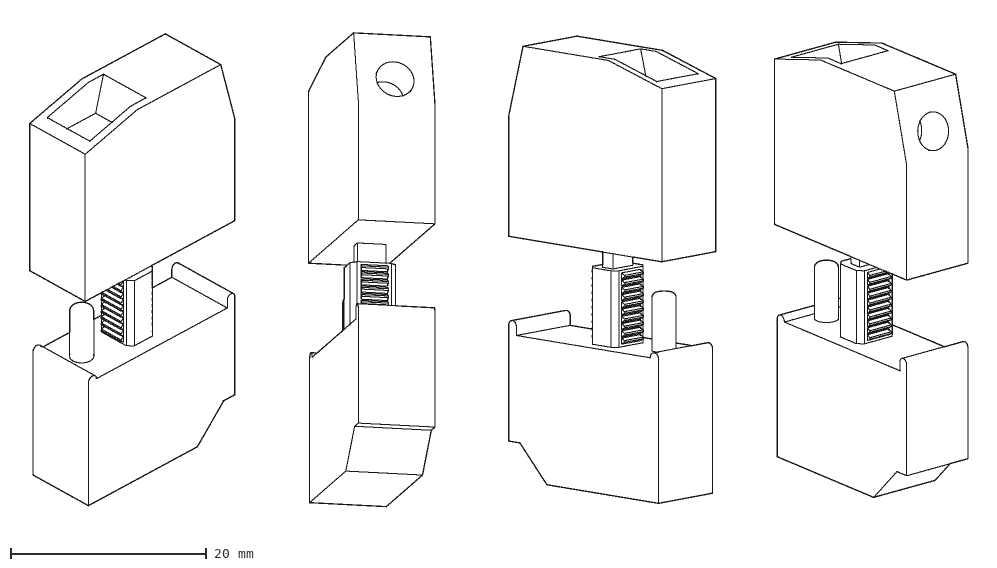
import cadquery as cq
import math

WIDTH = 8.1
DEPTH = 21.5
HEIGHT = 45.15
REAR_Y = DEPTH / 2
FRONT_Y = -DEPTH / 2

UPPER_HEIGHT = 20.0
UPPER_BOTTOM_Z = HEIGHT - UPPER_HEIGHT
BEVEL_LONG = 7.5
TAPER_ANGLE = 15.0
TAPER = math.tan(math.radians(TAPER_ANGLE))
BEVEL_SHORT = BEVEL_LONG * TAPER

POCKET_WIDTH = 6.2
POCKET_DEPTH = 4.25
POCKET_FLOOR_REAR_Y = -2.2
POCKET_FLOOR_FRONT_Y = -8.45

WIRE_HOLE_DIAMETER = 3.95
WIRE_HOLE_DEPTH = 4.5
WIRE_HOLE_DROP = 4.9

DECK_Z = 15.0
LOWER_FRONT_Y = -10.3
REAR_LIP_RADIUS = 0.55
REAR_LIP_HEIGHT = 1.5
FRONT_LIP_RADIUS = 0.6
HEEL_Z = 3.9
HEEL_LENGTH = 1.6
HEEL_SLOPE_LENGTH = 3.8

PEG_DIAMETER = 2.5
PEG_HEIGHT = 6.05
PEG_Y = -7.25
PEG_ROUND = 0.55

CONTACT_Y = -0.75
CONTACT_WIDTH = 4.8
CONTACT_DEPTH = 3.75
CONTACT_HEIGHT = 7.95
CONTACT_CHAMFER = 0.6
CONTACT_TOP_Z = DECK_Z + CONTACT_HEIGHT
BLADE_WIDTH = 3.0
BLADE_THICKNESS = 1.45

RIB_COUNT = 10
RIB_ROW_HEIGHT = 6.75
RIB_PITCH = RIB_ROW_HEIGHT / (RIB_COUNT - 1)
RIB_WIDTH = 2.8
RIB_BASE = 0.65
RIB_NOSE = 0.2
RIB_REACH = 0.45


def extrude_across(profile, width):
    """Extrude a closed (Y, Z) outline symmetrically about X = 0."""
    return profile.close().extrude(width / 2, both=True)


def make_upper_housing():
    outline = (
        cq.Workplane("YZ")
        .moveTo(FRONT_Y, UPPER_BOTTOM_Z)
        .lineTo(REAR_Y, UPPER_BOTTOM_Z)
        .lineTo(REAR_Y, HEIGHT - BEVEL_LONG)
        .lineTo(REAR_Y - BEVEL_SHORT, HEIGHT)
        .lineTo(FRONT_Y + BEVEL_LONG, HEIGHT)
        .lineTo(FRONT_Y, HEIGHT - BEVEL_SHORT)
    )
    return extrude_across(outline, WIDTH).cut(make_pocket()).cut(make_wire_hole())


def make_pocket():
    """Pocket whose front and rear walls lean outwards towards the top."""
    floor_z = HEIGHT - POCKET_DEPTH
    lean = POCKET_DEPTH * TAPER
    outline = (
        cq.Workplane("YZ")
        .moveTo(POCKET_FLOOR_FRONT_Y, floor_z)
        .lineTo(POCKET_FLOOR_REAR_Y, floor_z)
        .lineTo(POCKET_FLOOR_REAR_Y + lean, HEIGHT)
        .lineTo(POCKET_FLOOR_FRONT_Y - lean, HEIGHT)
    )
    return extrude_across(outline, POCKET_WIDTH)


def make_wire_hole():
    """Blind hole square to the rear bevel."""
    center_y = REAR_Y - BEVEL_SHORT + WIRE_HOLE_DROP * TAPER
    angle = math.radians(TAPER_ANGLE)
    bevel_plane = cq.Plane(
        origin=(0, center_y, HEIGHT - WIRE_HOLE_DROP),
        xDir=(1, 0, 0),
        normal=(0, math.cos(angle), math.sin(angle)),
    )
    return cq.Workplane(bevel_plane).circle(WIRE_HOLE_DIAMETER / 2).extrude(-WIRE_HOLE_DEPTH)


def make_lower_housing():
    """Housing with a round-topped lip at each end of its deck and a locating peg."""
    rear_lip_arc_z = DECK_Z + REAR_LIP_HEIGHT - REAR_LIP_RADIUS
    rear_lip_inner_y = REAR_Y - 2 * REAR_LIP_RADIUS
    heel_end_y = REAR_Y - HEEL_LENGTH
    outline = (
        cq.Workplane("YZ")
        .moveTo(LOWER_FRONT_Y, 0)
        .lineTo(LOWER_FRONT_Y, DECK_Z)
        .threePointArc(
            (LOWER_FRONT_Y + FRONT_LIP_RADIUS, DECK_Z + FRONT_LIP_RADIUS),
            (LOWER_FRONT_Y + 2 * FRONT_LIP_RADIUS, DECK_Z),
        )
        .lineTo(rear_lip_inner_y, DECK_Z)
        .lineTo(rear_lip_inner_y, rear_lip_arc_z)
        .threePointArc(
            (REAR_Y - REAR_LIP_RADIUS, DECK_Z + REAR_LIP_HEIGHT),
            (REAR_Y, rear_lip_arc_z),
        )
        .lineTo(REAR_Y, HEEL_Z)
        .lineTo(heel_end_y, HEEL_Z)
        .lineTo(heel_end_y - HEEL_SLOPE_LENGTH, 0)
    )
    return extrude_across(outline, WIDTH).union(make_peg())


def make_peg():
    return (
        cq.Workplane("XY", origin=(0, PEG_Y, DECK_Z))
        .circle(PEG_DIAMETER / 2)
        .extrude(PEG_HEIGHT)
        .faces(">Z")
        .edges()
        .fillet(PEG_ROUND)
    )


def make_contact():
    block = (
        cq.Workplane("XY", origin=(0, CONTACT_Y, DECK_Z))
        .rect(CONTACT_WIDTH, CONTACT_DEPTH)
        .extrude(CONTACT_HEIGHT)
        .edges("|Z")
        .chamfer(CONTACT_CHAMFER)
    )
    blade = (
        cq.Workplane("XY", origin=(0, CONTACT_Y, CONTACT_TOP_Z))
        .rect(BLADE_WIDTH, BLADE_THICKNESS)
        .extrude(UPPER_BOTTOM_Z - CONTACT_TOP_Z)
    )
    contact = block.union(blade)
    lowest_rib_z = DECK_Z + (CONTACT_HEIGHT - RIB_ROW_HEIGHT) / 2
    for index in range(RIB_COUNT):
        contact = contact.union(make_rib_pair(lowest_rib_z + index * RIB_PITCH))
    return contact


def make_rib_pair(center_z):
    """One bar through the block that leaves a tapered, round-nosed rib on its front and rear faces."""
    root = CONTACT_DEPTH / 2
    tip = root + RIB_REACH
    half_base = RIB_BASE / 2
    half_nose = RIB_NOSE / 2
    nose_start = tip - half_nose
    outline = (
        cq.Workplane("YZ", origin=(0, CONTACT_Y, center_z))
        .moveTo(-root, -half_base)
        .lineTo(root, -half_base)
        .lineTo(nose_start, -half_nose)
        .threePointArc((tip, 0), (nose_start, half_nose))
        .lineTo(root, half_base)
        .lineTo(-root, half_base)
        .lineTo(-nose_start, half_nose)
        .threePointArc((-tip, 0), (-nose_start, -half_nose))
    )
    return extrude_across(outline, RIB_WIDTH)


upper_housing = make_upper_housing()
lower_housing = make_lower_housing()
contact = make_contact()

result = cq.Compound.makeCompound([upper_housing.val(), lower_housing.val(), contact.val()])